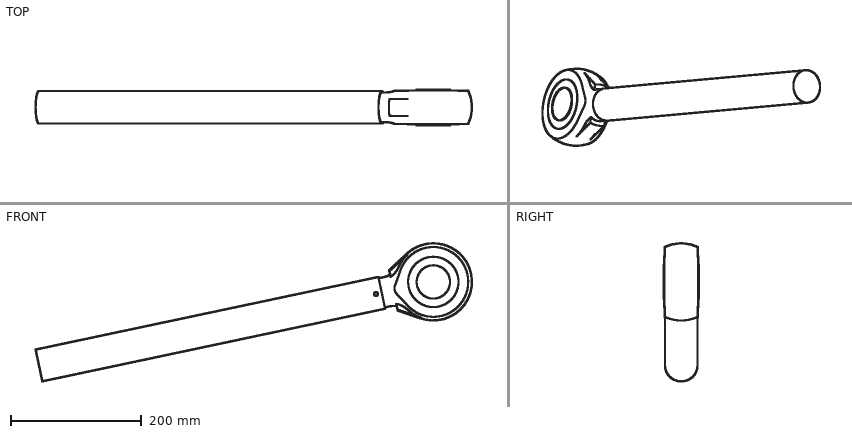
import cadquery as cq
import math

HANDLE_TILT = 11.96
HANDLE_RADIUS = 25.0
HANDLE_END = 616.2
HANDLE_START = 80.5

HEAD_RADIUS = 59.2
HEAD_WIDTH = 51.0
COVER_RADIUS = 38.5
COVER_HEIGHT = 0.5
CAP_RADIUS = 25.5
OVERALL_WIDTH = 55.0

NECK_RADIUS = 23.0
FLARE_RADIUS = 32.0

TAB_ANGLE = 31.0
TAB_WIDTH = 26.0
TAB_THICKNESS = 14.0
TAB_TIP = 62.4

PIN_HOLE_DIAMETER = 5.6
PIN_HOLE_DEPTH = 5.0
PIN_HOLE_POSITION = 89.5


def polar(radius, angle):
    """Point at the given radius and angle (radians), measured from the handle direction -X."""
    return (-radius * math.cos(angle), radius * math.sin(angle))


def make_head_and_neck():
    """Sphere, flare and neck turned about the handle axis, cut flat at both faces."""
    flare_height = NECK_RADIUS + FLARE_RADIUS
    flare_angle = math.asin(flare_height / (HEAD_RADIUS + FLARE_RADIUS))
    flare_start = (HEAD_RADIUS + FLARE_RADIUS) * math.cos(flare_angle)
    bisector = math.pi / 4 - flare_angle / 2
    flare_middle = (
        -flare_start + FLARE_RADIUS * math.sin(bisector),
        flare_height - FLARE_RADIUS * math.cos(bisector),
    )
    sphere_middle = polar(HEAD_RADIUS, (math.pi + flare_angle) / 2)
    turned = (
        cq.Workplane("XZ")
        .moveTo(-HANDLE_START, 0)
        .lineTo(-HANDLE_START, NECK_RADIUS)
        .lineTo(-flare_start, NECK_RADIUS)
        .threePointArc(flare_middle, polar(HEAD_RADIUS, flare_angle))
        .threePointArc(sphere_middle, (HEAD_RADIUS, 0))
        .close()
        .revolve(360, (0, 0, 0), (1, 0, 0))
    )
    slab = cq.Workplane("XY").box(2 * HANDLE_START, HEAD_WIDTH, 2 * HEAD_RADIUS)
    return turned.intersect(slab)


def make_handle():
    """Plain round bar along -X, ending in a sharp shoulder at the neck."""
    return (
        cq.Workplane("YZ", origin=(-HANDLE_END, 0, 0))
        .circle(HANDLE_RADIUS)
        .extrude(HANDLE_END - HANDLE_START)
    )


def make_tab(side):
    """Crowned tab leaving the rim tangentially toward the handle; side is +1 (top) or -1 (bottom)."""
    blank = (
        cq.Workplane("XY")
        .box(TAB_TIP, TAB_WIDTH, TAB_THICKNESS, centered=(False, True, False))
        .translate((-TAB_TIP, 0, HEAD_RADIUS - TAB_THICKNESS))
    )
    crown = cq.Workplane("YZ").circle(HEAD_RADIUS).extrude(-TAB_TIP)
    tab = blank.intersect(crown).rotate((0, 0, 0), (0, 1, 0), -TAB_ANGLE)
    reach = cq.Workplane("XY").box(2 * TAB_TIP, TAB_WIDTH, 2 * HEAD_RADIUS)
    tab = tab.intersect(reach)
    return tab if side > 0 else tab.mirror("XY")


def make_disc(radius, width):
    """Round disc about the Y axis, centred across the head."""
    return cq.Workplane("XZ").circle(radius).extrude(width / 2, both=True)


def make_pin_hole():
    """Blind hole in the -Y side of the handle."""
    hole_floor = -HANDLE_RADIUS + PIN_HOLE_DEPTH
    return (
        cq.Workplane("XZ", origin=(-PIN_HOLE_POSITION, hole_floor, 0))
        .circle(PIN_HOLE_DIAMETER / 2)
        .extrude(PIN_HOLE_DEPTH)
    )


body = make_head_and_neck().union(make_handle())
for side in (1, -1):
    body = body.union(make_tab(side))
body = body.union(make_disc(COVER_RADIUS, HEAD_WIDTH + 2 * COVER_HEIGHT))
body = body.union(make_disc(CAP_RADIUS, OVERALL_WIDTH))
body = body.cut(make_pin_hole())
result = body.rotate((0, 0, 0), (0, 1, 0), -HANDLE_TILT)